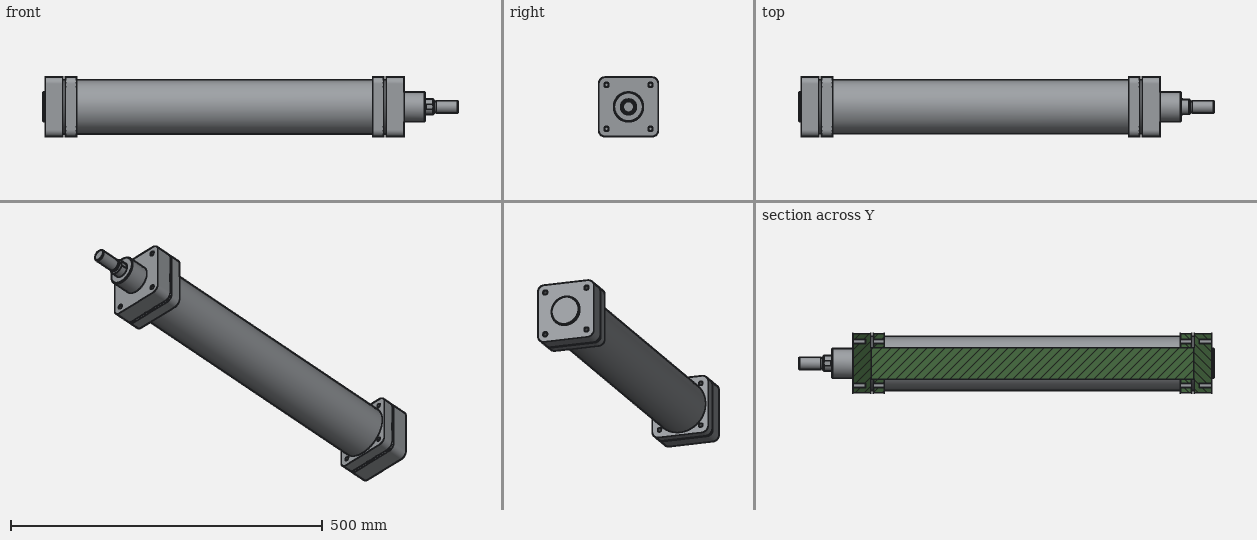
import cadquery as cq

overall_length = 666.0
plate_side = 96.0
plate_corner_radius = 10.5

barrel_diameter = 87.0

cap_thickness = 28.5
flange_thickness = 18.0
plate_gap = 4.0

boss_diameter = 48.0
boss_chamfer = 1.0
rear_boss_length = 3.0
collar_length = 34.0
collar_end = 613.5

screw_hole_diameter = 6.5
screw_hole_offset = 35.0
screw_hole_depth = 20.0
countersink = 0.5

rod_end_length = 35.0
rod_diameter = 20.0
rod_end_chamfer = 1.0
shoulder_diameter = 25.0
shoulder_flats_width = 24.0
shoulder_rim_length = 2.0
shoulder_taper_length = 2.5
neck_diameter = 18.0
neck_length = 2.5

rear_cap_start = rear_boss_length
rear_cap_end = rear_cap_start + cap_thickness
rear_flange_start = rear_cap_end + plate_gap
front_cap_end = collar_end - collar_length
front_cap_start = front_cap_end - cap_thickness
front_flange_start = front_cap_start - plate_gap - flange_thickness
rod_end_start = overall_length - rod_end_length
neck_start = rod_end_start - neck_length
shoulder_taper_start = neck_start - shoulder_taper_length


def cross_section(x):
    """Workplane across the axis at X = x, looking along +X, with local x along Y."""
    return cq.Workplane("YZ", origin=(x, 0, 0))


def cylinder(x, diameter, length):
    return cross_section(x).circle(diameter / 2).extrude(length)


def square_plate(x, thickness):
    plate = cross_section(x).rect(plate_side, plate_side).extrude(thickness)
    return plate.edges("|X").fillet(plate_corner_radius)


def corner_holes(x, depth):
    spacing = 2 * screw_hole_offset
    centres = cross_section(x).rect(spacing, spacing, forConstruction=True).vertices()
    return centres.circle(screw_hole_diameter / 2).extrude(depth)


def cut_screw_holes(cap, outer_face, inward):
    """Blind, countersunk holes from a cap's outer face; inward is the sign of X into the cap."""
    cap = cap.cut(corner_holes(outer_face, inward * screw_hole_depth))
    mouth_radius = screw_hole_diameter / 2 + countersink
    face_centre = cq.Vector(outer_face, 0, 0)
    direction = cq.Vector(inward, 0, 0)
    mouth = cq.Solid.makeCone(mouth_radius, screw_hole_diameter / 2, countersink, face_centre, direction)
    for y in (-screw_hole_offset, screw_hole_offset):
        for z in (-screw_hole_offset, screw_hole_offset):
            cap = cap.cut(cq.Workplane(mouth.translate(cq.Vector(0, y, z))))
    return cap


def make_barrel():
    return cylinder(rear_cap_end, barrel_diameter, front_cap_start - rear_cap_end)


def make_flange(x):
    flange = square_plate(x, flange_thickness)
    flange = flange.cut(cylinder(x, barrel_diameter, flange_thickness))
    return flange.cut(corner_holes(x, flange_thickness))


def make_rear_cap():
    boss = cylinder(0, boss_diameter, rear_boss_length).faces("<X").chamfer(boss_chamfer)
    cap = square_plate(rear_cap_start, cap_thickness).union(boss)
    return cut_screw_holes(cap, rear_cap_start, 1)


def make_front_cap():
    collar = cylinder(front_cap_end, boss_diameter, collar_length).faces(">X").chamfer(boss_chamfer)
    cap = square_plate(front_cap_start, cap_thickness).union(collar)
    return cut_screw_holes(cap, front_cap_end, -1)


def make_rod():
    profile = [
        (collar_end, 0),
        (collar_end, shoulder_diameter / 2),
        (shoulder_taper_start, shoulder_diameter / 2),
        (neck_start, rod_diameter / 2),
        (neck_start, neck_diameter / 2),
        (rod_end_start, neck_diameter / 2),
        (rod_end_start, rod_diameter / 2),
        (overall_length - rod_end_chamfer, rod_diameter / 2),
        (overall_length, rod_diameter / 2 - rod_end_chamfer),
        (overall_length, 0),
    ]
    rod = cq.Workplane("XZ").polyline(profile).close().revolve(360, (0, 0, 0), (1, 0, 0))

    flats_start = collar_end + shoulder_rim_length
    flats_length = neck_start - flats_start
    for side in (-1, 1):
        cutter = cross_section(flats_start).center(side * shoulder_flats_width, 0)
        rod = rod.cut(cutter.rect(shoulder_flats_width, shoulder_diameter).extrude(flats_length))
    return rod


barrel = make_barrel()
rear_cap = make_rear_cap()
front_cap = make_front_cap()
flanges = [make_flange(x) for x in (rear_flange_start, front_flange_start)]
rod = make_rod()

result = cq.Compound.makeCompound([
    barrel.val(),
    rear_cap.val(),
    front_cap.val(),
    *[flange.val() for flange in flanges],
    rod.val(),
])